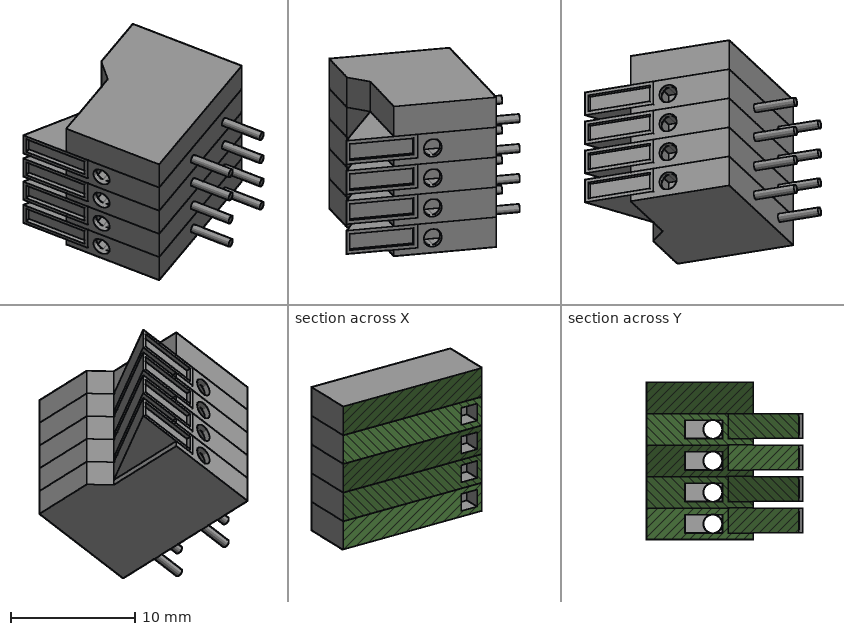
import cadquery as cq


total_length = 16.1
total_depth = 13.5
total_height = 12.7
pole_count = 4
pitch = total_height / (pole_count + 1)

pin_diameter = 0.7
pin_length = 3.5
pin_spacing = 5.07
front_pin_y = 5.52

housing_right = total_length - pin_length
housing_left = 2.5
step_width = 1.5
step_depth = 1.58
front_block_left = housing_left + step_width
front_block_depth = 6.78

lever_width = 5.99
lever_height = 2.0
lever_rim = 0.3
lever_pocket_depth = 0.37

wall = 0.5
wire_hole_diameter = 1.5
wire_hole_x = 7.26
chamber_left = lever_width + wall
chamber_width = 3.0
chamber_depth = 1.5
chamber_height = 1.47


def housing_block(bottom_z):
    """Plain block with the housing outline, one pitch thick."""
    outline = [
        (front_block_left, 0),
        (housing_right, 0),
        (housing_right, total_depth),
        (housing_left, total_depth),
        (housing_left, front_block_depth + step_depth),
        (front_block_left, front_block_depth),
    ]
    return cq.Workplane("XY").workplane(offset=bottom_z).polyline(outline).close().extrude(pitch)


def lever_blank(bottom_z):
    """Solid lever shape, flush with the top of its module and with the front face."""
    outline = [
        (0, 0),
        (lever_width, 0),
        (lever_width, front_block_depth),
        (front_block_left, front_block_depth),
    ]
    lever_bottom_z = bottom_z + pitch - lever_height
    return cq.Workplane("XY").workplane(offset=lever_bottom_z).polyline(outline).close().extrude(lever_height)


def make_lever(bottom_z):
    """Release lever with a shallow rectangular pocket in its front face."""
    pocket = cq.Workplane("XY").box(
        lever_width - 2 * lever_rim,
        lever_pocket_depth,
        lever_height - 2 * lever_rim,
        centered=(True, False, True),
    )
    lever_middle_z = bottom_z + pitch - lever_height / 2
    return lever_blank(bottom_z).cut(pocket.translate((lever_width / 2, 0, lever_middle_z)))


def wire_entry(middle_z):
    """Space for one wire: the round hole and the closed chamber behind it."""
    hole = (
        cq.Workplane("XZ", origin=(wire_hole_x, 0, middle_z))
        .circle(wire_hole_diameter / 2)
        .extrude(-(wall + chamber_depth))
    )
    chamber = cq.Workplane("XY").box(
        chamber_width, chamber_depth, chamber_height, centered=(False, False, True)
    )
    return hole.union(chamber.translate((chamber_left, wall, middle_z)))


def contact_pins(middle_z):
    """The two pins of one module."""
    return (
        cq.Workplane("YZ", origin=(housing_right, 0, middle_z))
        .pushPoints([(front_pin_y, 0), (front_pin_y + pin_spacing, 0)])
        .circle(pin_diameter / 2)
        .extrude(pin_length)
    )


def make_module(bottom_z):
    """Pole module with a lever recess, a wire entry and two contact pins."""
    middle_z = bottom_z + pitch / 2
    body = housing_block(bottom_z).cut(lever_blank(bottom_z)).cut(wire_entry(middle_z))
    return body.union(contact_pins(middle_z))


module_bottoms = [index * pitch for index in range(pole_count)]
modules = [make_module(bottom_z) for bottom_z in module_bottoms]
levers = [make_lever(bottom_z) for bottom_z in module_bottoms]
end_plate = housing_block(pole_count * pitch)

result = cq.Compound.makeCompound(
    [
        *[module.val() for module in modules],
        *[lever.val() for lever in levers],
        end_plate.val(),
    ]
)